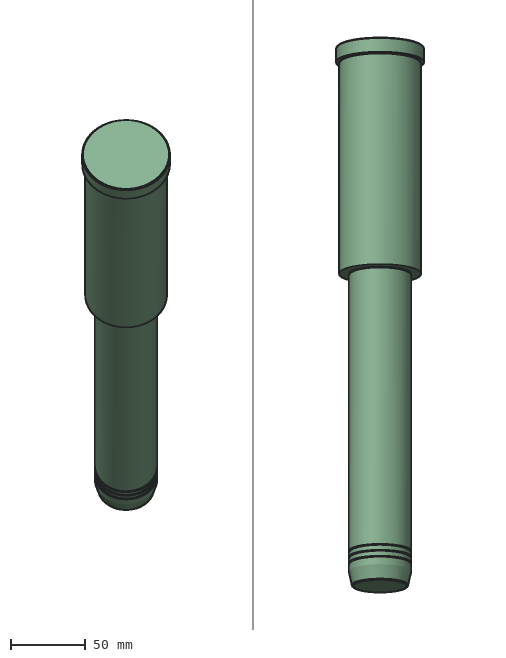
import cadquery as cq

total_length = 371.0
head_diameter = 59.0
head_length = 10.0
sleeve_diameter = 55.0
sleeve_length = 145.8
rod_diameter = 42.0
tip_diameter = 37.5
tip_length = 10.0

groove_count = 3
lowest_groove_height = 15.2
groove_pitch = 4.0
groove_width = 0.7
groove_depth = 0.5

edge_chamfer = 0.7

sleeve_top = total_length - head_length
sleeve_bottom = sleeve_top - sleeve_length


def cylinder(diameter, bottom, top):
    """Solid cylinder on the Z axis between two heights."""
    return cq.Workplane("XY").workplane(offset=bottom).circle(diameter / 2).extrude(top - bottom)


def tapered_tip():
    """Cone that narrows from the rod down to the flat end face."""
    return (
        cq.Workplane("XY")
        .circle(tip_diameter / 2)
        .workplane(offset=tip_length)
        .circle(rod_diameter / 2)
        .loft(ruled=True)
    )


def ring_groove(surface_diameter, bottom):
    """Ring of material to remove from a cylindrical surface."""
    top = bottom + groove_width
    core_diameter = surface_diameter - 2 * groove_depth
    return cylinder(surface_diameter, bottom, top).cut(cylinder(core_diameter, bottom, top))


result = (
    tapered_tip()
    .union(cylinder(rod_diameter, tip_length, sleeve_bottom))
    .union(cylinder(sleeve_diameter, sleeve_bottom, sleeve_top))
    .union(cylinder(head_diameter, sleeve_top, total_length))
)

result = result.faces("<Z or >Z").edges().chamfer(edge_chamfer)

for index in range(groove_count):
    result = result.cut(ring_groove(rod_diameter, lowest_groove_height + index * groove_pitch))

result = result.cut(ring_groove(sleeve_diameter, sleeve_top - groove_width))
result = result.cut(ring_groove(rod_diameter, sleeve_bottom - groove_width))